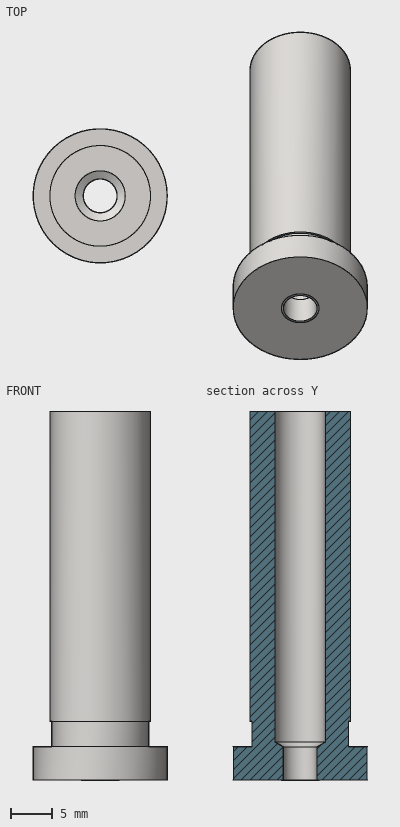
import cadquery as cq
import math

total_length = 44.0
head_diameter = 16.0
head_height = 4.0
lip_diameter = 4.5
lip_height = 0.02
neck_diameter = 11.6
neck_height = 3.0
body_diameter = 12.0
bore_diameter = 6.0
pilot_diameter = 4.0
pilot_depth = 4.0
cone_half_angle = 60.0

head_radius = head_diameter / 2
neck_radius = neck_diameter / 2
body_radius = body_diameter / 2
bore_radius = bore_diameter / 2
pilot_radius = pilot_diameter / 2
lip_radius = lip_diameter / 2
head_top = lip_height + head_height
neck_top = head_top + neck_height
cone_height = (bore_radius - pilot_radius) / math.tan(math.radians(cone_half_angle))
bore_floor = pilot_depth + cone_height

half_section = (
    cq.Workplane("XZ")
    .moveTo(pilot_radius, 0)
    .lineTo(lip_radius, 0)
    .lineTo(lip_radius, lip_height)
    .lineTo(head_radius, lip_height)
    .lineTo(head_radius, head_top)
    .lineTo(neck_radius, head_top)
    .lineTo(neck_radius, neck_top)
    .lineTo(body_radius, neck_top)
    .lineTo(body_radius, total_length)
    .lineTo(bore_radius, total_length)
    .lineTo(bore_radius, bore_floor)
    .lineTo(pilot_radius, pilot_depth)
    .close()
)
result = half_section.revolve(360, (0, 0, 0), (0, 1, 0))